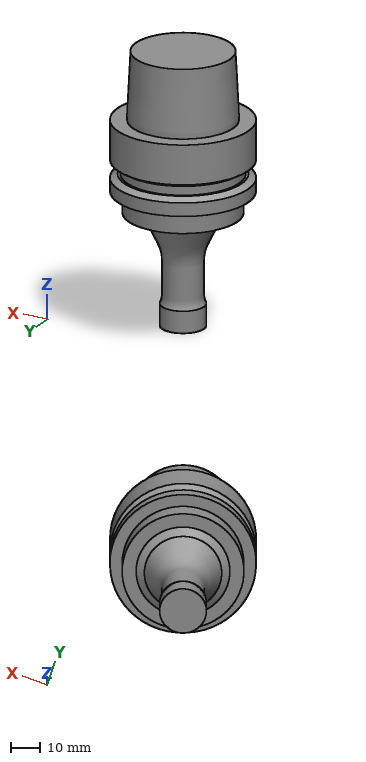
import cadquery as cq
import math

nose_diameter = 16.0
neck_diameter = 14.5
body_diameter = 41.6
flange_diameter = 50.0
groove_diameter = 43.0
shank_diameter = 38.3

nose_top = 8.1
neck_bottom = 11.2
neck_top = 23.8
cone_top = 39.5
body_bottom = 41.2
flange_bottom = 49.0
groove_start = 53.9
groove_floor_start = 55.4
groove_floor_end = 59.0
groove_end = 60.5
flange_top = 75.0
taper_start = 77.0
total_height = 100.0

taper_ratio = 0.1

flare_angle = math.radians(26.0)
neck_blend_radius = 15.0
root_diameter = 32.0

groove_side_angle = math.radians(30.0)


def polar(centre, radius, angle):
    """Point at an angle from the +radial direction around a profile centre."""
    return (centre[0] + radius * math.cos(angle), centre[1] + radius * math.sin(angle))


neck_radius = neck_diameter / 2
nose_radius = nose_diameter / 2
body_radius = body_diameter / 2
flange_radius = flange_diameter / 2
groove_radius = groove_diameter / 2
shank_radius = shank_diameter / 2
top_radius = (shank_diameter - taper_ratio * (total_height - taper_start)) / 2

nose_step = nose_radius - neck_radius
nose_blend_height = neck_bottom - nose_top
nose_blend_radius = (nose_blend_height**2 + nose_step**2) / (2 * nose_step)
nose_blend_centre = (neck_radius + nose_blend_radius, neck_bottom)
nose_blend_half_angle = math.asin(nose_blend_height / nose_blend_radius) / 2
nose_blend_middle = polar(nose_blend_centre, nose_blend_radius, math.pi + nose_blend_half_angle)

neck_blend_centre = (neck_radius + neck_blend_radius, neck_top)
neck_blend_middle = polar(neck_blend_centre, neck_blend_radius, math.pi - flare_angle / 2)
cone_bottom = polar(neck_blend_centre, neck_blend_radius, math.pi - flare_angle)

cone_top_radius = cone_bottom[0] + (cone_top - cone_bottom[1]) * math.tan(flare_angle)

groove_side_height = groove_floor_start - groove_start
groove_side_radius = flange_radius - groove_side_height / math.tan(groove_side_angle)

profile = (
    cq.Workplane("XZ")
    .moveTo(0, 0)
    .lineTo(nose_radius, 0)
    .lineTo(nose_radius, nose_top)
    .threePointArc(nose_blend_middle, (neck_radius, neck_bottom))
    .lineTo(neck_radius, neck_top)
    .threePointArc(neck_blend_middle, cone_bottom)
    .lineTo(cone_top_radius, cone_top)
    .lineTo(root_diameter / 2, body_bottom)
    .lineTo(body_radius, body_bottom)
    .lineTo(body_radius, flange_bottom)
    .lineTo(flange_radius, flange_bottom)
    .lineTo(flange_radius, groove_start)
    .lineTo(groove_side_radius, groove_floor_start)
    .lineTo(groove_radius, groove_floor_start)
    .lineTo(groove_radius, groove_floor_end)
    .lineTo(groove_side_radius, groove_floor_end)
    .lineTo(flange_radius, groove_end)
    .lineTo(flange_radius, flange_top)
    .lineTo(shank_radius, flange_top)
    .lineTo(shank_radius, taper_start)
    .lineTo(top_radius, total_height)
    .lineTo(0, total_height)
    .close()
)

result = profile.revolve(360, (0, 0, 0), (0, 1, 0))